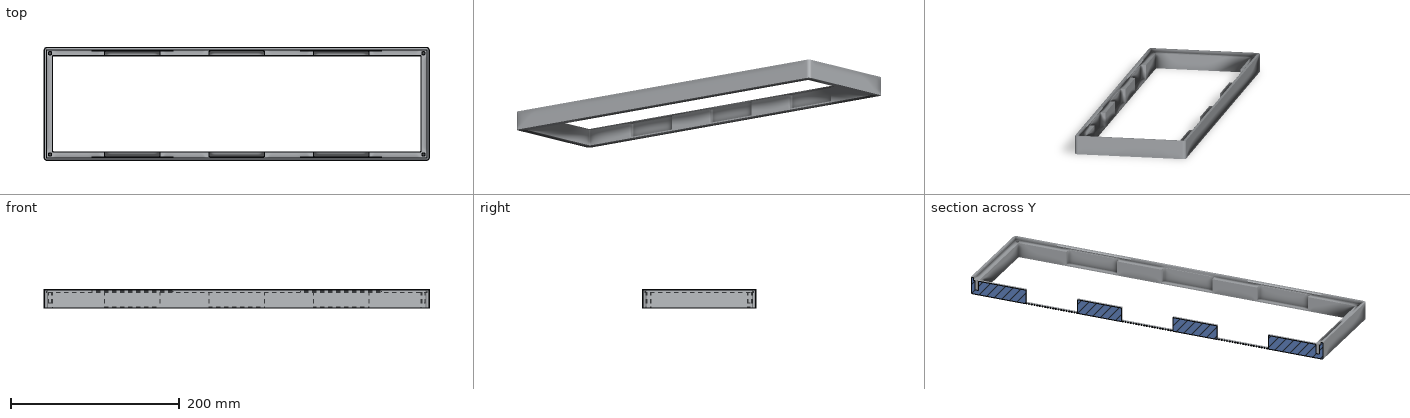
import cadquery as cq

length = 456.58
width = 134.01
height = 22.0
corner_radius = 4.0

rim_thickness = 3.0
wall_thickness = 10.0
opening_corner_radius = 1.0
ledge_depth = 3.6
ledge_z = height - ledge_depth

pocket_length = 66.0
pocket_pitch = 123.7
pocket_floor_z = 1.5
pocket_back_thickness = 4.0
pocket_corner_radius = 2.0

bead_length = 96.0
bead_projection = 1.2
bead_half_height = bead_projection
bead_crest_z = height - bead_half_height

hole_diameter = 4.0
hole_depth = 12.0
hole_inset = 7.0

long_sides = (-1, 1)


def box_on(z, size_x, size_y, size_z):
    """Box centred on the Z axis with its base at height z."""
    return cq.Workplane("XY").workplane(offset=z).rect(size_x, size_y).extrude(size_z)


def frame_body():
    """Rectangular frame with rounded outer corners and a recessed ledge."""
    body = box_on(0, length, width, height).edges("|Z").fillet(corner_radius)
    opening = box_on(0, length - 2 * wall_thickness, width - 2 * wall_thickness, height)
    opening = opening.edges("|Z").fillet(opening_corner_radius)
    recess = box_on(ledge_z, length - 2 * rim_thickness, width - 2 * rim_thickness, ledge_depth)
    return body.cut(opening).cut(recess)


def snap_bead(x, side):
    """Triangular snap bead along one long rim, with 45-degree slopes above and below its crest."""
    rim_y = width / 2 - rim_thickness
    profile = [
        (rim_y, bead_crest_z + bead_half_height),
        (rim_y - bead_projection, bead_crest_z),
        (rim_y, bead_crest_z - bead_half_height),
    ]
    prism = cq.Workplane("YZ").polyline(profile).close().extrude(bead_length / 2, both=True)
    if side < 0:
        prism = prism.mirror("XZ")
    return prism.translate((x, 0, 0))


def pocket(x):
    """Pair of facing pockets: one cutter spans the opening and enters both long walls."""
    span = width - 2 * pocket_back_thickness
    cutter = box_on(pocket_floor_z, pocket_length, span, height - pocket_floor_z)
    return cutter.edges("|Z").fillet(pocket_corner_radius).translate((x, 0, 0))


def corner_holes():
    """Blind screw holes, one in each corner of the ledge."""
    return (
        cq.Workplane("XY")
        .workplane(offset=ledge_z)
        .rect(length - 2 * hole_inset, width - 2 * hole_inset, forConstruction=True)
        .vertices()
        .circle(hole_diameter / 2)
        .extrude(-hole_depth)
    )


result = frame_body()
for pocket_x in (-pocket_pitch, 0, pocket_pitch):
    result = result.cut(pocket(pocket_x))
for bead_x in (-pocket_pitch, pocket_pitch):
    for long_side in long_sides:
        result = result.union(snap_bead(bead_x, long_side))
result = result.cut(corner_holes())